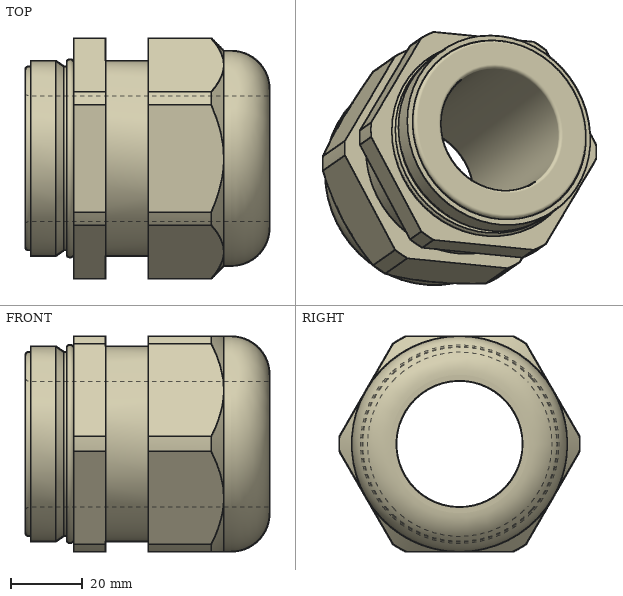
import cadquery as cq

LENGTH = 68

THREAD_START = 1.5
THREAD_END = 8.5
RELIEF_START = 10.75
SEAL_START = 11.5
BODY_HEX_START = 13.45
BODY_HEX_END = 22.4
NUT_START = 34.2
DOME_START = 57.25

BORE_DIAMETER = 35.0
RELIEF_DIAMETER = 51.3
THREAD_DIAMETER = 54.4
SEAL_EDGE_DIAMETER = 54.0
SEAL_CREST_DIAMETER = 55.2
CORNER_DIAMETER = 67.0
ACROSS_FLATS = 60.0

EDGE_ROUND = 0.95
QUARTER_TURN = 90

NUT_CHAMFER = (CORNER_DIAMETER - ACROSS_FLATS) / 2
NUT_END = 55.2


def cylinder(start, end, diameter):
    return cq.Workplane("YZ", origin=(start, 0, 0)).circle(diameter / 2).extrude(end - start)


def hexagon(start, end):
    """Hexagonal prism with flats at the top and bottom, its corners still sharp."""
    return (
        cq.Workplane("YZ", origin=(start, 0, 0))
        .polygon(6, ACROSS_FLATS, circumscribed=True)
        .extrude(end - start)
        .rotate((0, 0, 0), (1, 0, 0), QUARTER_TURN)
    )


lip = cylinder(0, THREAD_START, RELIEF_DIAMETER).faces("<X").edges().fillet(EDGE_ROUND)
thread = cylinder(THREAD_START, THREAD_END, THREAD_DIAMETER)
run_out = (
    cq.Workplane("YZ", origin=(THREAD_END, 0, 0))
    .circle(THREAD_DIAMETER / 2)
    .workplane(offset=RELIEF_START - THREAD_END)
    .circle(RELIEF_DIAMETER / 2)
    .loft()
)
relief = cylinder(RELIEF_START, SEAL_START, RELIEF_DIAMETER)

seal = (
    cq.Workplane("XY")
    .moveTo(SEAL_START, 0)
    .lineTo(SEAL_START, SEAL_EDGE_DIAMETER / 2)
    .threePointArc(
        ((SEAL_START + BODY_HEX_START) / 2, SEAL_CREST_DIAMETER / 2),
        (BODY_HEX_START, SEAL_EDGE_DIAMETER / 2),
    )
    .lineTo(BODY_HEX_START, 0)
    .close()
    .revolve(360, (0, 0, 0), (1, 0, 0))
)

corner_disc = cylinder(BODY_HEX_START, BODY_HEX_END, CORNER_DIAMETER)
body_hex = hexagon(BODY_HEX_START, BODY_HEX_END).intersect(corner_disc)
neck = cylinder(BODY_HEX_END, NUT_START, THREAD_DIAMETER)

nut_envelope = cylinder(NUT_START, NUT_END, CORNER_DIAMETER).faces(">X").chamfer(NUT_CHAMFER)
nut = hexagon(NUT_START, NUT_END).intersect(nut_envelope)
dome = cylinder(NUT_END, LENGTH, ACROSS_FLATS).faces(">X").edges().fillet(LENGTH - DOME_START)

result = lip
for section in (thread, run_out, relief, seal, body_hex, neck, nut, dome):
    result = result.union(section)

result = result.cut(cylinder(0, LENGTH, BORE_DIAMETER))
bore_mouth = cq.selectors.RadiusNthSelector(0)
result = result.faces("<X").edges(bore_mouth).fillet(EDGE_ROUND)